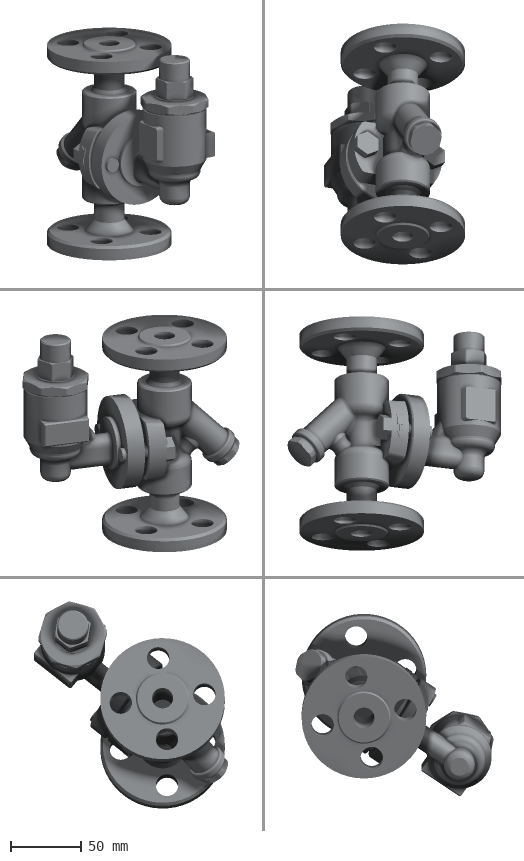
import cadquery as cq
import math

overlap = 1.6
corner_slope = 0.6

end_z = 75.0
raised_height = 1.3
raised_dia = 38.0
raised_bevel = 1.0
flange_dia = 89.0
flange_thick = 10.1
flange_chamfer = 1.8
bolt_circle_dia = 60.0
bolt_hole_dia = 16.0
bore_dia = 15.0
neck_flare_r = 17.5
neck_cone_r = 15.3
neck_flare_z = 61.2
neck_cone_z = 55.4
pipe_dia = 21.7

sleeve_dia = 39.0
sleeve_end_z = 40.0
sleeve_chamfer = 1.0
shoulder_cone_r = 13.2
shoulder_cone_z = 42.8
waist_dia = 23.0
waist_half = 7.0
shoulder_half = 18.7
shoulder_mid_half = 12.0
shoulder_mid_r = 14.8

side_z = -2.0
branch_half_height = 9.8
inner_flange_x = 10.0
inner_flange_thick = 13.0
inner_half_height = 20.5
inner_draft = 1.5
inner_round = 4.0
joint_gap = 3.3
side_flange_dia = 67.0
side_flange_thick = 13.0
side_flange_chamfer = 0.8
hub_dia = 38.0
hub_length = 3.3
bolt_y = 25.4
bolt_dia = 10.0
bolt_length = 32.3
bolt_head_flats = 16.0
bolt_head_height = 6.4

arrow_x = 16.1
arrow_top = 8.6
arrow_neck = 1.0
arrow_head = -4.2
arrow_tip = -8.5
arrow_tail_half = 2.1
arrow_shaft_half = 0.7
arrow_head_half = 2.1
arrow_notch = 1.6
arrow_relief = 0.7

strainer_top_z = 27.0
strainer_angle = 45
strainer_dia = 23.0
collar_dia = 27.0
collar_start = 54.7
collar_end = 60.9
collar_round = 1.3
plug_neck_dia = 21.0
plug_start = 62.2
plug_end = 67.6
plug_flats = 22.0
plug_trim_dia = 23.6
plug_chamfer = 0.7
strainer_blend = 2.5

strut_center_x = -13.5
strut_center_z = -13.5
strut_leg_r = 8.1
strut_middle_r = 6.7
strut_sleeve_r = 7.2
strut_leg_end = 11.4
strut_leg_side = 7.8
strut_middle = 4.5
strut_sleeve_side = 1.0
strut_sleeve_end = 3.3

trap_x = 82.4
trap_dia = 46.0
stem_top_z = 82.5
stem_dia = 22.0
stem_chamfer = 0.8
hex_top_z = 68.7
hex_flats = 23.8
hex_trim_dia = 27.0
hex_chamfer = 1.0
seat_dia = 27.9
seat_z = 55.4
nut_top_z = 54.5
nut_bottom_z = 47.4
nut_flats = 46.0
nut_trim_dia = 49.2
nut_chamfer = 1.8
nut_neck_dia = 44.0
trap_top_z = 46.5
trap_cone_top_z = 9.1
trap_cone_bottom_z = 2.0
trap_cone_r = 18.9
trap_bowl_r = 18.5
trap_bowl_z = 0.5
bowl_middle = (17.8, -2.6)
bowl_end = (15.0, -4.7)
bowl_hollow = (12.2, -6.4)
stub_dia = 22.0
stub_top_z = -9.3
stub_round_z = -18.5
stub_end_r = 6.5
stub_end_z = -24.1
feed_width = 15.0
feed_height = 23.8
feed_z = -6.2
feed_blend = 1.3
riser_blend = 1.6
riser_dia = 10.5
riser_angle = 53
riser_x = 59.6
riser_z = 7.5
riser_back = 8.1
riser_forward = 19.5

pad_half_y = 23.1
pad_width = 27.2
pad_bottom_z = 10.6
pad_top_z = 39.3
pad_depth = 4.9
pad_round = 3.6
pad_taper = 25
rear_pad_half_y = 24.0
rear_pad_width = 34.2
rear_pad_top_z = 28.3
rear_pad_depth = 9.8
rear_pad_chamfer = 1.0


def cylinder_x(x_start, length, diameter):
    return cq.Workplane("YZ", origin=(x_start, 0, side_z)).circle(diameter / 2).extrude(length)


def trimmed_prism(sides, flats, trim_dia, bottom, top, chamfer):
    """Vertical polygon prism whose corners are trimmed by a chamfered cylinder."""
    corner_dia = flats / math.cos(math.pi / sides)
    height = top - bottom
    prism = cq.Workplane("XY", origin=(0, 0, bottom)).polygon(sides, corner_dia).extrude(height)
    trim = cq.Workplane("XY", origin=(0, 0, bottom)).circle(trim_dia / 2).extrude(height)
    return prism.intersect(trim.edges().chamfer(corner_slope * chamfer, chamfer))


def end_pipe():
    """Upper pipe, welding neck and flange, from the top of the sleeve up."""
    flange_z = end_z - raised_height
    back_z = flange_z - flange_thick
    flange_r = flange_dia / 2
    pipe_r = pipe_dia / 2
    pipe = (
        cq.Workplane("XZ")
        .moveTo(0, sleeve_end_z - overlap)
        .lineTo(shoulder_cone_r, sleeve_end_z - overlap)
        .lineTo(shoulder_cone_r, sleeve_end_z)
        .lineTo(pipe_r, shoulder_cone_z)
        .lineTo(pipe_r, neck_cone_z)
        .lineTo(neck_cone_r, neck_flare_z)
        .lineTo(neck_flare_r, back_z)
        .lineTo(flange_r - flange_chamfer, back_z)
        .lineTo(flange_r, back_z + flange_chamfer)
        .lineTo(flange_r, flange_z)
        .lineTo(raised_dia / 2, flange_z)
        .lineTo(raised_dia / 2 - raised_bevel, end_z)
        .lineTo(0, end_z)
        .close()
        .revolve(360, (0, 0), (0, 1))
    )
    bolt_holes = (
        cq.Workplane("XY", origin=(0, 0, back_z))
        .polarArray(bolt_circle_dia / 2, 45, 360, 4)
        .circle(bolt_hole_dia / 2)
        .extrude(flange_thick)
    )
    return pipe.cut(bolt_holes)


def end_bore():
    """Blind bore from the sealing face down to the sleeve."""
    return cq.Workplane("XY", origin=(0, 0, sleeve_end_z)).circle(bore_dia / 2).extrude(end_z - sleeve_end_z)


def sleeve():
    sleeve_r = sleeve_dia / 2
    waist_r = waist_dia / 2
    body = (
        cq.Workplane("XY", origin=(0, 0, -sleeve_end_z))
        .circle(sleeve_r)
        .extrude(2 * sleeve_end_z)
        .faces("<Z or >Z")
        .chamfer(sleeve_chamfer)
    )
    half_ring = (
        cq.Workplane("XZ")
        .moveTo(waist_r, 0)
        .lineTo(waist_r, waist_half)
        .tangentArcPoint((shoulder_mid_r, shoulder_mid_half), relative=False)
        .tangentArcPoint((sleeve_r, shoulder_half), relative=False)
        .lineTo(sleeve_r + overlap, shoulder_half)
        .lineTo(sleeve_r + overlap, 0)
        .close()
        .revolve(360, (0, 0), (0, 1))
    )
    ring = half_ring.union(half_ring.mirror("XY")).translate((0, 0, side_z))
    return body.cut(ring)


def along_strainer(shape):
    """Turn a shape built along +Z into the strainer direction."""
    turned = shape.rotate((0, 0, 0), (0, 1, 0), 180 + strainer_angle)
    return turned.translate((0, 0, strainer_top_z))


def strainer_tube():
    return along_strainer(cq.Workplane("XY").circle(strainer_dia / 2).extrude(collar_start + overlap))


def strainer_strut():
    """Round strut under the strainer leg, narrowest between the leg and the sleeve."""
    strut = (
        cq.Workplane("XZ")
        .moveTo(0, -strut_sleeve_end)
        .lineTo(strut_sleeve_r, -strut_sleeve_end)
        .lineTo(strut_sleeve_r, strut_sleeve_side)
        .threePointArc((strut_middle_r, strut_middle), (strut_leg_r, strut_leg_side))
        .lineTo(strut_leg_r, strut_leg_end)
        .lineTo(0, strut_leg_end)
        .close()
        .revolve(360, (0, 0), (0, 1))
    )
    turned = strut.rotate((0, 0, 0), (0, 1, 0), -strainer_angle)
    return turned.translate((strut_center_x, 0, strut_center_z))


def strainer_cap():
    collar = (
        cq.Workplane("XY", origin=(0, 0, collar_start))
        .circle(collar_dia / 2)
        .extrude(collar_end - collar_start)
        .edges()
        .fillet(collar_round)
    )
    neck = (
        cq.Workplane("XY", origin=(0, 0, collar_start))
        .circle(plug_neck_dia / 2)
        .extrude(plug_end - collar_start - overlap)
    )
    plug = trimmed_prism(6, plug_flats, plug_trim_dia, plug_start, plug_end, plug_chamfer)
    return along_strainer(collar.union(neck).union(plug))


def inner_flange():
    """Round flange with drafted flats cut across its top and bottom."""
    far_x = inner_flange_x + inner_flange_thick
    far_half = inner_half_height + inner_draft
    disc = cylinder_x(inner_flange_x, inner_flange_thick, side_flange_dia)
    wedge = (
        cq.Workplane("XZ", origin=(0, 0, side_z))
        .polyline([
            (inner_flange_x, -inner_half_height),
            (far_x, -far_half),
            (far_x, far_half),
            (inner_flange_x, inner_half_height),
        ])
        .close()
        .extrude(side_flange_dia, both=True)
    )
    flange = disc.intersect(wedge)
    corner_y = math.sqrt((side_flange_dia / 2) ** 2 - inner_half_height ** 2)
    corners = flange.edges(cq.selectors.BoxSelector(
        (inner_flange_x + overlap, -corner_y, side_z - far_half),
        (far_x - overlap, corner_y, side_z + far_half),
    ))
    return corners.fillet(inner_round)


def flow_arrow():
    """Raised arrow pointing down on the -Y rim of the inner flange."""
    right_side = [
        (arrow_tail_half, arrow_top),
        (arrow_tail_half, arrow_neck),
        (arrow_shaft_half, arrow_neck),
        (arrow_shaft_half, arrow_head),
        (arrow_head_half, arrow_head),
    ]
    left_side = [(-x, z) for x, z in reversed(right_side)]
    outline = [(0, arrow_top - arrow_notch)] + right_side + [(0, arrow_tip)] + left_side
    front = side_flange_dia / 2 + arrow_relief
    arrow = (
        cq.Workplane("XZ", origin=(arrow_x, 0, side_z))
        .polyline(outline)
        .close()
        .extrude(front)
    )
    return arrow.intersect(cylinder_x(inner_flange_x, inner_flange_thick, 2 * front))


def side_flange():
    """Hub and outer disc facing the inner flange."""
    joint_x = inner_flange_x + inner_flange_thick
    disc_x = joint_x + joint_gap
    hub = cylinder_x(joint_x, joint_gap + side_flange_thick + hub_length, hub_dia)
    disc = cylinder_x(disc_x, side_flange_thick, side_flange_dia).faces("<X").chamfer(side_flange_chamfer)
    return hub.union(disc)


def side_bolt(y):
    head_corner_dia = bolt_head_flats / math.cos(math.pi / 6)
    head = (
        cq.Workplane("YZ", origin=(inner_flange_x - bolt_head_height, y, side_z))
        .transformed(rotate=(0, 0, 90))
        .polygon(6, head_corner_dia)
        .extrude(bolt_head_height)
    )
    shank = cylinder_x(inner_flange_x, bolt_length, bolt_dia).translate((0, y, 0))
    return head.union(shank)


def branch():
    """Flat-sided neck from the waist to the inner flange."""
    return cq.Workplane("XY").box(
        inner_flange_x, waist_dia, 2 * branch_half_height, centered=(False, True, True)
    ).translate((0, 0, side_z))


def feed_pipe():
    """Upright oval pipe from the side flange into the trap, with the sloping riser above it."""
    hub_face = inner_flange_x + inner_flange_thick + joint_gap + side_flange_thick + hub_length
    oval = (
        cq.Workplane("YZ", origin=(hub_face, 0, feed_z))
        .slot2D(feed_height, feed_width, 90)
        .extrude(trap_x - hub_face)
    )
    blend_taper = math.degrees(math.atan2(feed_blend / 2, feed_blend))
    blend = (
        cq.Workplane("YZ", origin=(hub_face, 0, feed_z))
        .slot2D(feed_height + feed_blend, feed_width + feed_blend, 90)
        .extrude(feed_blend, taper=blend_taper)
    )
    riser = (
        cq.Workplane("XY", origin=(0, 0, -riser_back))
        .circle(riser_dia / 2)
        .extrude(riser_back + riser_forward)
        .rotate((0, 0, 0), (0, 1, 0), 90 - riser_angle)
        .translate((riser_x, 0, riser_z))
    )
    pipes = oval.union(riser).edges("%BSPLINE or %ELLIPSE").fillet(riser_blend)
    return pipes.union(blend)


def trap_body():
    trap_r = trap_dia / 2
    stub_r = stub_dia / 2
    shell = (
        cq.Workplane("XZ")
        .moveTo(0, nut_bottom_z)
        .lineTo(nut_neck_dia / 2, nut_bottom_z)
        .lineTo(nut_neck_dia / 2, trap_top_z)
        .lineTo(trap_r, trap_top_z)
        .lineTo(trap_r, trap_cone_top_z)
        .lineTo(trap_cone_r, trap_cone_bottom_z)
        .lineTo(trap_bowl_r, trap_bowl_z)
        .threePointArc(bowl_middle, bowl_end)
        .threePointArc(bowl_hollow, (stub_r, stub_top_z))
        .lineTo(stub_r, stub_round_z)
        .tangentArcPoint((stub_end_r, stub_end_z), relative=False)
        .lineTo(0, stub_end_z)
        .close()
        .revolve(360, (0, 0), (0, 1))
    )
    nut = trimmed_prism(8, nut_flats, nut_trim_dia, nut_bottom_z, nut_top_z, nut_chamfer)
    seat = cq.Workplane("XY", origin=(0, 0, nut_top_z)).circle(seat_dia / 2).extrude(seat_z - nut_top_z)
    hexagon = trimmed_prism(6, hex_flats, hex_trim_dia, seat_z, hex_top_z, hex_chamfer)
    stem = (
        cq.Workplane("XY", origin=(0, 0, hex_top_z))
        .circle(stem_dia / 2)
        .extrude(stem_top_z - hex_top_z)
        .faces(">Z")
        .chamfer(stem_chamfer)
    )
    trap = shell.union(nut).union(seat).union(hexagon).union(stem)
    return trap.union(front_pad()).union(rear_pad()).translate((trap_x, 0, 0))


def front_pad():
    """Tapered raised pad on the -Y side."""
    height = pad_top_z - pad_bottom_z
    base = cq.Sketch().rect(pad_width, height).vertices().fillet(pad_round)
    return (
        cq.Workplane("XZ", origin=(0, pad_depth - pad_half_y, (pad_top_z + pad_bottom_z) / 2))
        .placeSketch(base)
        .extrude(pad_depth, taper=pad_taper)
    )


def rear_pad():
    """Wider plate pad on the +Y side."""
    height = rear_pad_top_z - pad_bottom_z
    return (
        cq.Workplane("XZ", origin=(0, rear_pad_half_y, (rear_pad_top_z + pad_bottom_z) / 2))
        .rect(rear_pad_width, height)
        .extrude(rear_pad_depth)
        .faces(">Y")
        .chamfer(rear_pad_chamfer)
    )


valve = sleeve().union(strainer_tube())
valve = valve.edges("%BSPLINE or %ELLIPSE").fillet(strainer_blend)
valve = valve.union(strainer_strut())

upper_end = end_pipe()
result = valve.union(upper_end).union(upper_end.mirror("XY"))
result = result.union(strainer_cap()).union(branch())
result = result.union(inner_flange()).union(flow_arrow()).union(side_flange())
for bolt_side in (-bolt_y, bolt_y):
    result = result.union(side_bolt(bolt_side))
result = result.union(feed_pipe()).union(trap_body())

upper_bore = end_bore()
result = result.cut(upper_bore).cut(upper_bore.mirror("XY"))